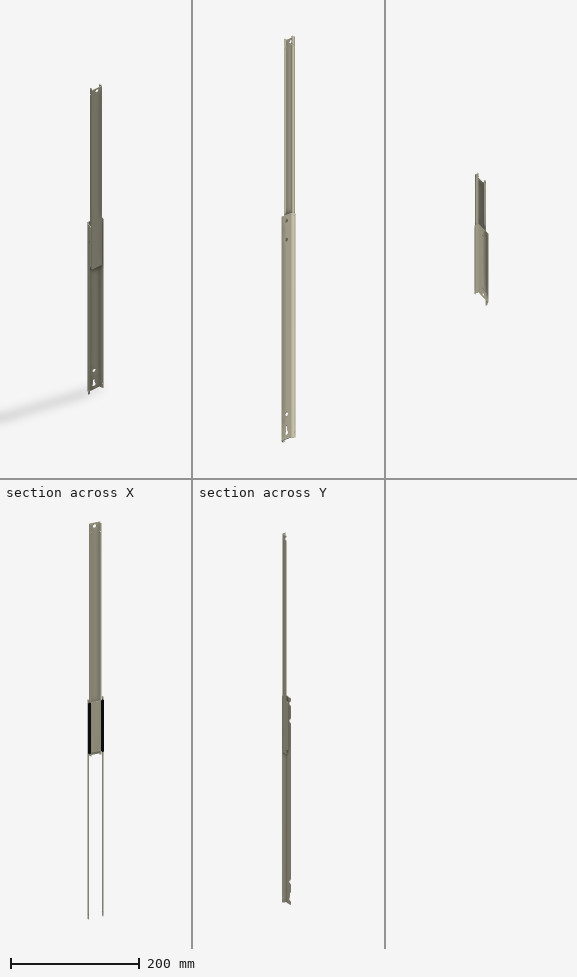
import cadquery as cq
import math

TOTAL_DEPTH = 10.05
OUTER_WIDTH = 27.2
TOTAL_LENGTH = 682.0
SHEET = 1.2

OUTER_LENGTH = 380.0
OUTER_DEPTH = 8.0
OUTER_WEB_HALF = 11.0
OUTER_WEB_INSIDE_HALF = 10.3

INNER_LENGTH = 401.0
INNER_BOTTOM = TOTAL_LENGTH - INNER_LENGTH
INNER_LIP_X = 3.9
INNER_HALF = 9.5
INNER_LIP_INSIDE_HALF = INNER_HALF - SHEET
INNER_WEB_EDGE_RADIUS = 1.5

BALL_DIAMETER = 4.2
BALL_RADIUS = BALL_DIAMETER / 2
RACE_RADIUS = BALL_RADIUS + SHEET
RACE_X = 5.55
RACE_Y = OUTER_WIDTH / 2 - RACE_RADIUS
RACE_START_ANGLE = 142.0
RACE_END_ANGLE = math.degrees(math.acos((OUTER_DEPTH - RACE_X) / RACE_RADIUS))
GROOVE_BOTTOM_HALF = RACE_Y - BALL_RADIUS
GROOVE_TOP_X = 2 * RACE_X - INNER_LIP_X

CAGE_EMBED = 0.1
CAGE_END_MARGIN = 6.0
CAGE_THICKNESS = SHEET

LIP_CORNER_RADIUS = 2.5

SCREW_DIAMETER = 5.8
COUNTERBORE_DIAMETER = 8.6
COUNTERBORE_DEPTH = SHEET / 2
SCREW_END_DISTANCES = (10.2, 42.0)
SCREW_HEIGHTS = [
    height
    for distance in SCREW_END_DISTANCES
    for height in (distance, OUTER_LENGTH - distance)
]

KEYHOLE_HEIGHT = SCREW_END_DISTANCES[0]
KEYHOLE_SLOT_WIDTH = 3.5
KEYHOLE_SLOT_TOP = 22.4

INNER_HOLE_DIAMETER = 5.8
INNER_HOLE_HEIGHT = TOTAL_LENGTH - 5.7

DIMPLE_DIAMETER = 3.5
DIMPLE_DEPTH = 0.6
OUTER_DIMPLE_HEIGHTS = (8.2, OUTER_LENGTH - 4.0)
INNER_DIMPLE_HEIGHT = TOTAL_LENGTH - 14.5


def race_point(radius, angle):
    """Point on a circle round the ball centre, angle in degrees from +X towards +Y."""
    turn = math.radians(angle)
    return (RACE_X + radius * math.cos(turn), RACE_Y + radius * math.sin(turn))


def with_mirror(half):
    """Join a half on the +Y side with its mirror image."""
    return half.union(half.mirror("XZ"))


def flange_cylinder(x, height, y_start, y_end):
    """Cylinder of dimple size along Y between two distances from the middle plane."""
    return (
        cq.Workplane("XZ", origin=(x, y_start, height))
        .circle(DIMPLE_DIAMETER / 2)
        .extrude(y_start - y_end)
    )


def add_dimple(half, x, height, outside_y):
    """Press a dimple inwards into a flange whose outer face lies at outside_y."""
    inside_y = outside_y - SHEET
    bump = flange_cylinder(x, height, inside_y - DIMPLE_DEPTH, inside_y + DIMPLE_DEPTH / 2)
    recess = flange_cylinder(x, height, outside_y - DIMPLE_DEPTH, outside_y + DIMPLE_DEPTH)
    return half.union(bump).cut(recess)


def make_lip_corner_cutter():
    """Waste outside the rounded corner at the lower end of a flange lip."""
    size = LIP_CORNER_RADIUS
    return (
        cq.Workplane("XZ")
        .moveTo(OUTER_DEPTH - size, 0)
        .radiusArc((OUTER_DEPTH, size), -size)
        .lineTo(OUTER_DEPTH + size, size)
        .lineTo(OUTER_DEPTH + size, 0)
        .close()
        .extrude(-OUTER_WIDTH)
    )


def make_outer_rail():
    race_middle_angle = (RACE_START_ANGLE + RACE_END_ANGLE) / 2
    half = (
        cq.Workplane("XY")
        .moveTo(0, 0)
        .lineTo(0, OUTER_WEB_HALF)
        .lineTo(*race_point(RACE_RADIUS, RACE_START_ANGLE))
        .threePointArc(
            race_point(RACE_RADIUS, race_middle_angle), race_point(RACE_RADIUS, RACE_END_ANGLE)
        )
        .lineTo(*race_point(BALL_RADIUS, RACE_END_ANGLE))
        .threePointArc(
            race_point(BALL_RADIUS, race_middle_angle), race_point(BALL_RADIUS, RACE_START_ANGLE)
        )
        .lineTo(SHEET, OUTER_WEB_INSIDE_HALF)
        .lineTo(SHEET, 0)
        .close()
        .extrude(OUTER_LENGTH)
        .cut(make_lip_corner_cutter())
    )
    for height in OUTER_DIMPLE_HEIGHTS:
        half = add_dimple(half, RACE_X, height, OUTER_WIDTH / 2)
    return cut_screw_holes(with_mirror(half))


def cut_screw_holes(rail):
    """Counterbored holes entered from the -X face, and the keyhole slot."""
    for height in SCREW_HEIGHTS:
        face = cq.Workplane("YZ", origin=(0, 0, height))
        shank = face.circle(SCREW_DIAMETER / 2).extrude(SHEET)
        head = face.circle(COUNTERBORE_DIAMETER / 2).extrude(COUNTERBORE_DEPTH)
        rail = rail.cut(shank).cut(head)
    slot_length = KEYHOLE_SLOT_TOP - KEYHOLE_HEIGHT
    slot = (
        cq.Workplane("YZ", origin=(0, 0, KEYHOLE_HEIGHT + slot_length / 2))
        .slot2D(slot_length, KEYHOLE_SLOT_WIDTH, 90)
        .extrude(SHEET)
    )
    return rail.cut(slot)


def make_inner_rail():
    half = (
        cq.Workplane("XY", origin=(0, 0, INNER_BOTTOM))
        .moveTo(TOTAL_DEPTH, 0)
        .lineTo(TOTAL_DEPTH, INNER_HALF - INNER_WEB_EDGE_RADIUS)
        .radiusArc((TOTAL_DEPTH - INNER_WEB_EDGE_RADIUS, INNER_HALF), -INNER_WEB_EDGE_RADIUS)
        .lineTo(GROOVE_TOP_X, INNER_HALF)
        .threePointArc((RACE_X, GROOVE_BOTTOM_HALF), (INNER_LIP_X, INNER_HALF))
        .lineTo(INNER_LIP_X, INNER_LIP_INSIDE_HALF)
        .threePointArc(
            (RACE_X, GROOVE_BOTTOM_HALF - SHEET), (GROOVE_TOP_X, INNER_LIP_INSIDE_HALF)
        )
        .lineTo(TOTAL_DEPTH - SHEET, INNER_LIP_INSIDE_HALF)
        .lineTo(TOTAL_DEPTH - SHEET, 0)
        .close()
        .extrude(INNER_LENGTH)
    )
    half = add_dimple(half, RACE_X, INNER_DIMPLE_HEIGHT, GROOVE_BOTTOM_HALF)
    hole = (
        cq.Workplane("YZ", origin=(TOTAL_DEPTH - SHEET, 0, INNER_HOLE_HEIGHT))
        .circle(INNER_HOLE_DIAMETER / 2)
        .extrude(SHEET)
    )
    return with_mirror(half).cut(hole)


def make_ball_cage():
    """Bars in place of the ball rows, and the cage plate between the inner rail's flanges.

    The bars join the two rails where these overlap.
    """
    bottom = INNER_BOTTOM + CAGE_END_MARGIN
    length = OUTER_LENGTH - CAGE_END_MARGIN - bottom
    ball_row = (
        cq.Workplane("XY", origin=(RACE_X, RACE_Y, bottom))
        .circle(BALL_RADIUS + CAGE_EMBED)
        .extrude(length)
    )
    plate_width = 2 * (GROOVE_BOTTOM_HALF - SHEET + CAGE_EMBED)
    plate = (
        cq.Workplane("XY", origin=(RACE_X, 0, bottom))
        .rect(CAGE_THICKNESS, plate_width)
        .extrude(length)
    )
    return with_mirror(ball_row).union(plate)


result = make_outer_rail().union(make_inner_rail()).union(make_ball_cage())